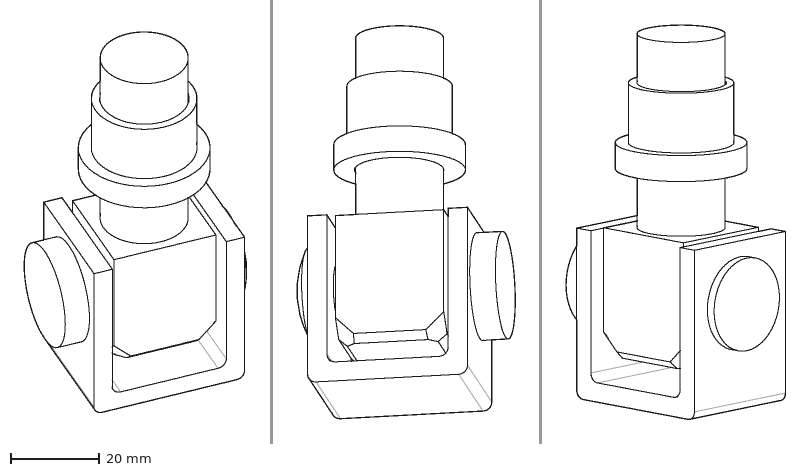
import cadquery as cq


fork_width = 30.0
wall = 4.5
fork_gap = 28.0
fork_depth = fork_gap + 2 * wall
fork_height = 39.5
fork_radius = 2.0

pin_diameter = 14.0
pin_height = 25.0
head_diameter = 24.5
head_thickness = 5.9
cap_diameter = 21.5
cap_rim = 2.1
cap_dome = 2.7

block_width = 24.7
block_depth = 25.0
block_bottom = 10.0
block_top = 40.0
bevel_width = 2.0
bevel_height = 1.8
corner_cut = 6.0
corner_cut_height = 5.8
stem_diameter = 20.0
stem_top = 84.9

flange_diameter = 30.0
flange_thickness = 6.0
sleeve_diameter = 24.0
sleeve_bottom = 53.6
sleeve_top = 73.5
bore_diameter = 20.3
bore_shift = 0.1


def y_cylinder(diameter, start, end):
    """Cylinder around the pin axis from Y = start to Y = end."""
    plane = cq.Plane(origin=(0, start, pin_height), xDir=(1, 0, 0), normal=(0, 1, 0))
    return cq.Workplane(plane).circle(diameter / 2).extrude(end - start)


def z_cylinder(diameter, bottom, top):
    """Cylinder around the stem axis from Z = bottom to Z = top."""
    return cq.Workplane().workplane(offset=bottom).circle(diameter / 2).extrude(top - bottom)


def pin_hole():
    """Bore for the pin, long enough to pass through both fork walls and the block."""
    return y_cylinder(pin_diameter, -fork_depth / 2, fork_depth / 2)


def make_fork():
    """U-shaped fork with rounded bends and a pin hole through both walls."""
    base_centred = (True, True, False)
    fork = cq.Workplane().box(fork_width, fork_depth, fork_height, centered=base_centred)
    fork = fork.faces("<Z").edges("|X").fillet(fork_radius)
    slot = (
        cq.Workplane()
        .workplane(offset=wall)
        .box(fork_width, fork_gap, fork_height, centered=base_centred)
        .faces("<Z")
        .edges("|X")
        .fillet(fork_radius)
    )
    return fork.cut(slot).cut(pin_hole())


def corner_wedge(x_side, y_side):
    """Tetrahedron that cuts one bottom corner off the block."""
    corner = cq.Vector(x_side * block_width / 2, y_side * block_depth / 2, block_bottom)
    along_x = corner - cq.Vector(x_side * corner_cut, 0, 0)
    along_y = corner - cq.Vector(0, y_side * corner_cut, 0)
    along_z = corner + cq.Vector(0, 0, corner_cut_height)
    triangles = [
        (corner, along_x, along_y),
        (corner, along_y, along_z),
        (corner, along_z, along_x),
        (along_x, along_y, along_z),
    ]
    faces = [cq.Face.makeFromWires(cq.Wire.makePolygon(points, close=True)) for points in triangles]
    return cq.Solid.makeSolid(cq.Shell.makeShell(faces))


def make_stem_block():
    """Block on the pin with bevelled bottom edges, cut-off bottom corners and a round stem on top."""
    block = (
        cq.Workplane()
        .workplane(offset=block_bottom)
        .box(block_width, block_depth, block_top - block_bottom, centered=(True, True, False))
        .faces("<Z")
        .chamfer(bevel_height, bevel_width)
    )
    for x_side in (-1, 1):
        for y_side in (-1, 1):
            block = block.cut(cq.Workplane(corner_wedge(x_side, y_side)))
    stem = z_cylinder(stem_diameter, block_top, stem_top)
    return block.union(stem).cut(pin_hole())


def make_sleeve():
    """Flanged sleeve with a loose, slightly off-centre bore around the stem."""
    flange = z_cylinder(flange_diameter, sleeve_bottom, sleeve_bottom + flange_thickness)
    tube = z_cylinder(sleeve_diameter, sleeve_bottom, sleeve_top)
    bore = z_cylinder(bore_diameter, sleeve_bottom, sleeve_top)
    return flange.union(tube).cut(bore.translate((-bore_shift, bore_shift, 0)))


def make_pin():
    """Pin through the fork and block with a flat head outside the -Y wall."""
    wall_face = -fork_depth / 2
    head = y_cylinder(head_diameter, wall_face - head_thickness, wall_face)
    return head.union(pin_hole())


def make_cap():
    """Domed cap on the outside of the +Y wall, closing the end of the pin."""
    radius = cap_diameter / 2
    dome_radius = (radius**2 + cap_dome**2) / (2 * cap_dome)
    start = fork_depth / 2
    apex = start + cap_rim + cap_dome
    rim = y_cylinder(cap_diameter, start, apex)
    ball = cq.Workplane(origin=(0, apex - dome_radius, pin_height)).sphere(dome_radius)
    return rim.intersect(ball)


fork = make_fork()
stem_block = make_stem_block()
sleeve = make_sleeve()
pin = make_pin()
cap = make_cap()

result = cq.Compound.makeCompound([fork.val(), stem_block.val(), sleeve.val(), pin.val(), cap.val()])